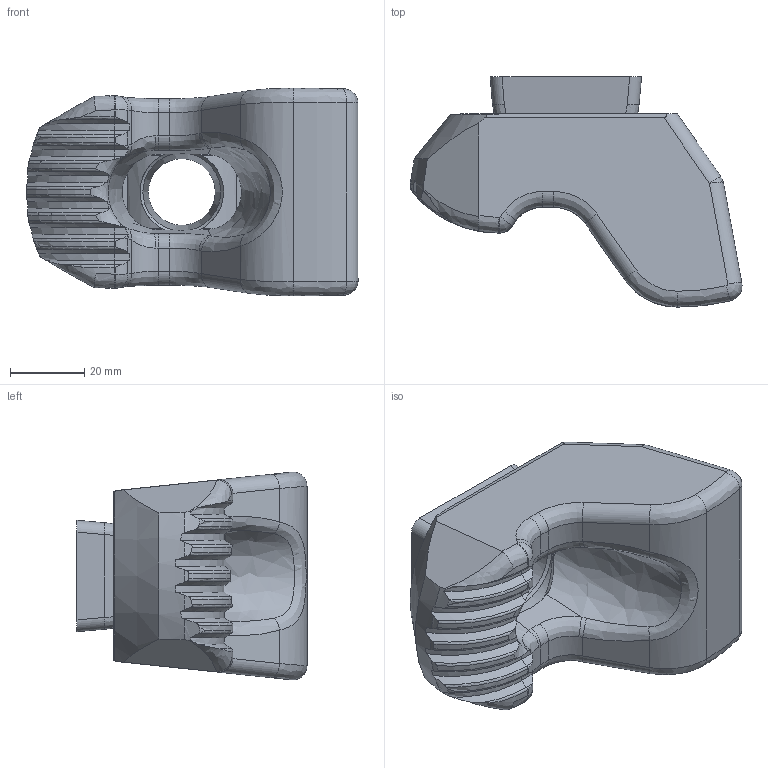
import cadquery as cq
import math


BACK_Z = 22.95
RIM_DEPTH = 1.15
RIM_SETBACK = 0.2
SIDE_DRAFT = 6.0
JAW_DEPTH = 52.1
BODY_END_X = 55.0
SPREAD_DEPTH = 60.0
HALF_HEIGHT_LIMIT = 40.0

NOSE_RADIUS = 42.0
NOSE_RIM_RADIUS = 27.5
NOSE_RIM_DEPTH = 0.3
NOSE_BACK_RADIUS = 31.1
NOSE_CONE_DEPTH = 12.2
NOSE_CONE_RADIUS = 41.0
NOSE_FULL_DEPTH = 19.0
NOSE_BEVEL_X = -23.4
NOSE_BEVEL_ANGLE = 27.5

TOE_Y = -32.15
TOE_X = -18.2
TOE_RADIUS = 29.7
TOE_TURN = 70.0

ARCH_Y = -25.2
ARCH_LEFT_X = -6.3
ARCH_RIGHT_X = -3.3
ARCH_LEFT_RADIUS = 8.8
ARCH_LEFT_TURN = 55.0
ARCH_RIGHT_RADIUS = 10.5
HEEL_SLOPE = 55.0

HEEL_X = 30.0
SOLE_RADIUS = 61.5
TAIL_X = 48.1
TAIL_KNEE = (42.3, -17.7)
TAIL_BACK_X = 30.0
CORNER_RADIUS = 4.1
EDGE_RADIUS = 3.8
TOLERANCE = 0.02

FUNNEL_TOP_Y = -9.0
FUNNEL_TOP_RADIUS = 9.5
FUNNEL_TOP_CENTRE = 6.6
FUNNEL_RADIUS_SLOPE = 0.13
FUNNEL_CENTRE_SLOPE = 0.065
FUNNEL_LENGTH = 48.0
FUNNEL_LIP_RADIUS = 4.0
LIP_START_Y = -20.0
LIP_MIN_X = -21.0
LIP_MAX_X = 26.0
LIP_EDGE_SPAN = 24.0

TOOTH_PITCH = 7.0
GROOVE_COUNT = 6
GROOVE_DEPTH = 2.4
GROOVE_TOP_WIDTH = 4.6
GROOVE_FLOOR_WIDTH = 1.7
CREST_RADIUS = 0.8

GROOVE_SWEEP = 80.0
GROOVE_RUN_OUT = 8.0

BLOCK_HEIGHT = 9.9
BLOCK_HALF_LENGTH = 20.4
BLOCK_HALF_WIDTH = 15.0
BLOCK_DRAFT = 5.0
DOME_START_Y = 2.5
BLOCK_CORNER_RADIUS = 3.2
BORE_MOUTH_RADIUS = 10.5
BORE_BACK_RADIUS = 9.0
BORE_LIP_RADIUS = 11.25
BORE_LIP_Y = -11.8


def turned(point, centre, degrees):
    """Rotate a point about a centre, anticlockwise positive."""
    a = math.radians(degrees)
    dx = point[0] - centre[0]
    dy = point[1] - centre[1]
    return (
        centre[0] + dx * math.cos(a) - dy * math.sin(a),
        centre[1] + dx * math.sin(a) + dy * math.cos(a),
    )


def jaw_profile():
    """Side profile of the jaw in the XY plane, extruded through its full height."""
    toe_bottom = (TOE_X, TOE_Y)
    toe_centre = (TOE_X, TOE_Y + TOE_RADIUS)
    toe_mid = turned(toe_bottom, toe_centre, -TOE_TURN / 2)
    toe_start = turned(toe_bottom, toe_centre, -TOE_TURN)
    blank_end_x = toe_start[0]

    arch_left_top = (ARCH_LEFT_X, ARCH_Y)
    arch_left_centre = (ARCH_LEFT_X, ARCH_Y - ARCH_LEFT_RADIUS)
    arch_left_mid = turned(arch_left_top, arch_left_centre, ARCH_LEFT_TURN / 2)
    arch_left_end = turned(arch_left_top, arch_left_centre, ARCH_LEFT_TURN)
    run = (arch_left_end[1] - TOE_Y) / math.tan(math.radians(ARCH_LEFT_TURN))
    toe_corner = (arch_left_end[0] - run, TOE_Y)

    arch_right_top = (ARCH_RIGHT_X, ARCH_Y)
    arch_right_centre = (ARCH_RIGHT_X, ARCH_Y - ARCH_RIGHT_RADIUS)
    arch_right_mid = turned(arch_right_top, arch_right_centre, -HEEL_SLOPE / 2)
    arch_right_end = turned(arch_right_top, arch_right_centre, -HEEL_SLOPE)

    slope = math.radians(HEEL_SLOPE)
    across = (HEEL_X - ARCH_RIGHT_X) * math.sin(slope) - (JAW_DEPTH + arch_right_centre[1]) * math.cos(slope)
    heel_radius = (across - ARCH_RIGHT_RADIUS) / (1 - math.cos(slope))
    heel_bottom = (HEEL_X, -JAW_DEPTH)
    heel_centre = (HEEL_X, -JAW_DEPTH + heel_radius)
    heel_mid = turned(heel_bottom, heel_centre, -HEEL_SLOPE / 2)
    heel_start = turned(heel_bottom, heel_centre, -HEEL_SLOPE)
    sole_centre = (HEEL_X, -JAW_DEPTH + SOLE_RADIUS)
    sole_end_y = -JAW_DEPTH + SOLE_RADIUS - math.sqrt(SOLE_RADIUS**2 - (TAIL_X - HEEL_X) ** 2)
    sole_mid_x = (HEEL_X + TAIL_X) / 2
    sole_mid = (sole_mid_x, sole_centre[1] - math.sqrt(SOLE_RADIUS**2 - (sole_mid_x - HEEL_X) ** 2))
    tail_corner = (TAIL_X, sole_end_y)

    blank = (
        cq.Workplane("XY")
        .moveTo(blank_end_x, 0)
        .lineTo(*toe_start)
        .threePointArc(toe_mid, toe_bottom)
        .lineTo(*toe_corner)
        .lineTo(*arch_left_end)
        .threePointArc(arch_left_mid, arch_left_top)
        .lineTo(*arch_right_top)
        .threePointArc(arch_right_mid, arch_right_end)
        .lineTo(*heel_start)
        .threePointArc(heel_mid, heel_bottom)
        .threePointArc(sole_mid, tail_corner)
        .lineTo(*TAIL_KNEE)
        .lineTo(TAIL_BACK_X, 0)
        .close()
        .extrude(HALF_HEIGHT_LIMIT, both=True)
    )
    for corner in (toe_corner, tail_corner, TAIL_KNEE):
        blank = rounded_corner(blank, corner)
    return blank


def rounded_corner(body, corner):
    """Round the edge parallel to Z that stands on a corner of the side profile."""
    x, y = corner
    around = cq.selectors.BoxSelector(
        (x - TOLERANCE, y - TOLERANCE, -TOLERANCE), (x + TOLERANCE, y + TOLERANCE, TOLERANCE)
    )
    return body.edges(around).fillet(CORNER_RADIUS)


def drafted_prism(points):
    """Prism on an XZ outline at the back face that leans outwards with the draft of the upper face."""
    outline = cq.Workplane("XZ").polyline(points).close().wire().val()
    rise = SPREAD_DEPTH * math.tan(math.radians(SIDE_DRAFT))
    return cq.Workplane(cq.Solid.extrudeLinear(outline, [], cq.Vector(0, -SPREAD_DEPTH, rise)))


def height_cutter():
    """Everything above the drafted upper face."""
    far = BODY_END_X
    high = BACK_Z + HALF_HEIGHT_LIMIT
    return drafted_prism([(-far, BACK_Z), (far, BACK_Z), (far, high), (-far, high)])


def bevel_cutter():
    """Everything above the flat bevel beside the nose."""
    drop = (BODY_END_X + NOSE_BEVEL_X) * math.tan(math.radians(NOSE_BEVEL_ANGLE))
    high = BACK_Z + HALF_HEIGHT_LIMIT
    return drafted_prism(
        [(-BODY_END_X, BACK_Z - drop), (NOSE_BEVEL_X, BACK_Z), (NOSE_BEVEL_X, high), (-BODY_END_X, high)]
    )


def nose_envelope():
    """Turned nose about the bolt axis, joined to a block that leaves the +X half free."""
    turned_nose = (
        cq.Workplane("XY")
        .polyline(
            [
                (0, 0),
                (NOSE_RIM_RADIUS, 0),
                (NOSE_BACK_RADIUS, -NOSE_RIM_DEPTH),
                (NOSE_CONE_RADIUS, -NOSE_CONE_DEPTH),
                (NOSE_RADIUS, -NOSE_FULL_DEPTH),
                (NOSE_RADIUS, -SPREAD_DEPTH),
                (0, -SPREAD_DEPTH),
            ]
        )
        .close()
        .revolve(360, (0, 0, 0), (0, 1, 0))
    )
    free_half = cq.Workplane("XY").box(
        BODY_END_X, SPREAD_DEPTH, 2 * HALF_HEIGHT_LIMIT, centered=(False, False, True)
    ).translate((0, -SPREAD_DEPTH, 0))
    return turned_nose.union(free_half)


def funnel():
    """Oblong bolt passage that widens towards the clamping side."""

    def slot(depth):
        radius = FUNNEL_TOP_RADIUS + FUNNEL_RADIUS_SLOPE * depth
        centre = FUNNEL_TOP_CENTRE + FUNNEL_CENTRE_SLOPE * depth
        return (
            cq.Workplane("XZ", origin=(0, FUNNEL_TOP_Y - depth, 0))
            .moveTo(-centre, radius)
            .lineTo(centre, radius)
            .threePointArc((centre + radius, 0), (centre, -radius))
            .lineTo(-centre, -radius)
            .threePointArc((-centre - radius, 0), (-centre, radius))
            .close()
            .wire()
            .val()
        )

    return cq.Workplane(cq.Solid.makeLoft([slot(0), slot(FUNNEL_LENGTH)], True))


def clear_of_faces(point):
    """Height of a point below the outer face of the jaw, zero when it lies on the face or its nose bevel."""
    draft = math.tan(math.radians(SIDE_DRAFT))
    bevel = math.tan(math.radians(NOSE_BEVEL_ANGLE))
    face_z = BACK_Z - point.y * draft + min(0, point.x - NOSE_BEVEL_X) * bevel
    return face_z - abs(point.z)


def rounded_outline_edges(body):
    """Edges between the side profile and the upper and lower faces, without back and nose ends."""
    chosen = []
    for edge in body.edges().vals():
        middle = edge.positionAt(0.5)
        along_bevel_ridge = abs(middle.x - NOSE_BEVEL_X) < TOLERANCE
        behind = middle.y > -RIM_DEPTH
        on_nose_block = middle.x < -NOSE_RADIUS
        if abs(clear_of_faces(middle)) < TOLERANCE and not (along_bevel_ridge or behind or on_nose_block):
            chosen.append(edge)
    return chosen


def rim_cutter():
    """Shallow bevel along the upper edge of the back face."""
    rim_z = BACK_Z + RIM_DEPTH * math.tan(math.radians(SIDE_DRAFT))
    return (
        cq.Workplane("YZ", origin=(NOSE_BEVEL_X, 0, 0))
        .polyline([(0, BACK_Z - RIM_SETBACK), (-RIM_DEPTH, rim_z), (0, rim_z)])
        .close()
        .extrude(BODY_END_X)
    )


def groove_section(plane):
    """V section of a groove: flat floor, sloping flanks and rounded tooth crests at its mouth."""
    half_floor = GROOVE_FLOOR_WIDTH / 2
    half_top = GROOVE_TOP_WIDTH / 2
    floor_y = GROOVE_DEPTH - TOE_RADIUS
    flank_angle = math.atan2(half_top - half_floor, GROOVE_DEPTH)
    turn = (math.pi / 2 - flank_angle) / 2
    tangent = CREST_RADIUS * math.tan(turn)
    flank_end = (-TOE_RADIUS + tangent * math.cos(flank_angle), half_top - tangent * math.sin(flank_angle))
    crest = (-TOE_RADIUS, half_top + tangent)
    crest_mid = (
        crest[0] + CREST_RADIUS * (1 - math.cos(turn)),
        crest[1] - CREST_RADIUS * math.sin(turn),
    )
    mouth_y = -TOE_RADIUS - GROOVE_DEPTH
    return (
        plane.moveTo(floor_y, -half_floor)
        .lineTo(flank_end[0], -flank_end[1])
        .threePointArc((crest_mid[0], -crest_mid[1]), (crest[0], -crest[1]))
        .lineTo(mouth_y, -crest[1])
        .lineTo(mouth_y, crest[1])
        .lineTo(*crest)
        .threePointArc(crest_mid, flank_end)
        .lineTo(floor_y, half_floor)
        .close()
    )


def tooth_groove(z):
    """One groove along X that follows the toe profile at constant depth and runs out into the arch."""
    plane = cq.Workplane("YZ", origin=(TOE_X, TOE_Y + TOE_RADIUS, z))
    curved_run = groove_section(plane).revolve(GROOVE_SWEEP, (0, 0, 0), (0, -1, 0))
    straight_run = groove_section(plane).extrude(GROOVE_RUN_OUT)
    return curved_run.union(straight_run)


def funnel_lip_edges(body):
    """Edges where the funnel opens through the profiled clamping surface."""
    chosen = []
    for edge in body.edges().vals():
        middle = edge.positionAt(0.5)
        half_width = FUNNEL_TOP_RADIUS + FUNNEL_RADIUS_SLOPE * (FUNNEL_TOP_Y - middle.y) + TOLERANCE
        span = abs(edge.startPoint().y - edge.endPoint().y)
        at_mouth = middle.y < LIP_START_Y and LIP_MIN_X < middle.x < LIP_MAX_X
        wall_seam = span > LIP_EDGE_SPAN
        if at_mouth and abs(middle.z) < half_width and not wall_seam:
            chosen.append(edge)
    return chosen


def jaw():
    """Jaw body with its funnel, teeth and the seat for the rocker block."""
    body = jaw_profile()
    for cutter in (height_cutter(), bevel_cutter()):
        body = body.cut(cutter).cut(cutter.mirror("XY"))
    body = body.newObject(rounded_outline_edges(body)).fillet(EDGE_RADIUS)
    body = body.intersect(nose_envelope()).cut(funnel())
    body = body.newObject(funnel_lip_edges(body)).fillet(FUNNEL_LIP_RADIUS)
    body = body.cut(rim_cutter()).cut(rim_cutter().mirror("XY"))
    for index in range(GROOVE_COUNT):
        groove_z = (index - (GROOVE_COUNT - 1) / 2) * TOOTH_PITCH
        body = body.cut(tooth_groove(groove_z))
    return body.cut(block_blank())


def block_blank():
    """Rocker block without its bore: a drafted block whose inner end is a part cylinder along Z."""
    lean = math.tan(math.radians(BLOCK_DRAFT))
    rise = BLOCK_HEIGHT - DOME_START_Y
    half_length = BLOCK_HALF_LENGTH - rise * lean
    dome_radius = half_length / math.cos(math.radians(BLOCK_DRAFT))
    dome_y = DOME_START_Y + half_length * lean - dome_radius
    dome_half_width = BLOCK_HALF_WIDTH - (BLOCK_HEIGHT - dome_y) * lean
    side = (
        cq.Workplane("XY")
        .moveTo(-half_length, DOME_START_Y)
        .threePointArc((0, dome_y), (half_length, DOME_START_Y))
        .lineTo(BLOCK_HALF_LENGTH, BLOCK_HEIGHT)
        .lineTo(-BLOCK_HALF_LENGTH, BLOCK_HEIGHT)
        .close()
        .extrude(BLOCK_HALF_WIDTH, both=True)
    )
    upper = [(dome_y, dome_half_width), (BLOCK_HEIGHT, BLOCK_HALF_WIDTH)]
    lower = [(y, -z) for y, z in reversed(upper)]
    width = cq.Workplane("YZ").polyline(upper + lower).close().extrude(BLOCK_HALF_LENGTH, both=True)
    block = side.intersect(width)
    corners = []
    for edge in block.edges().vals():
        start = edge.startPoint()
        end = edge.endPoint()
        crosses_width = abs(start.z - end.z) > dome_half_width
        in_back_face = edge.positionAt(0.5).y > BLOCK_HEIGHT - TOLERANCE
        if not (crosses_width or in_back_face):
            corners.append(edge)
    return block.newObject(corners).fillet(BLOCK_CORNER_RADIUS)


def bolt_bore():
    """Bolt bore that tapers towards the back, with a wider lip where it opens in the dome."""
    open_end_y = -2 * BLOCK_HALF_LENGTH
    profile = [
        (0, open_end_y),
        (BORE_LIP_RADIUS, open_end_y),
        (BORE_LIP_RADIUS, BORE_LIP_Y),
        (BORE_MOUTH_RADIUS, BORE_LIP_Y + BORE_LIP_RADIUS - BORE_MOUTH_RADIUS),
        (BORE_BACK_RADIUS, BLOCK_HEIGHT),
        (0, BLOCK_HEIGHT),
    ]
    return cq.Workplane("XY").polyline(profile).close().revolve(360, (0, 0, 0), (0, 1, 0))


def rocker_block():
    """Rocker block seated in the back of the jaw."""
    return block_blank().cut(bolt_bore())


clamp_jaw = jaw()
rocker = rocker_block()
result = cq.Compound.makeCompound([clamp_jaw.val(), rocker.val()])